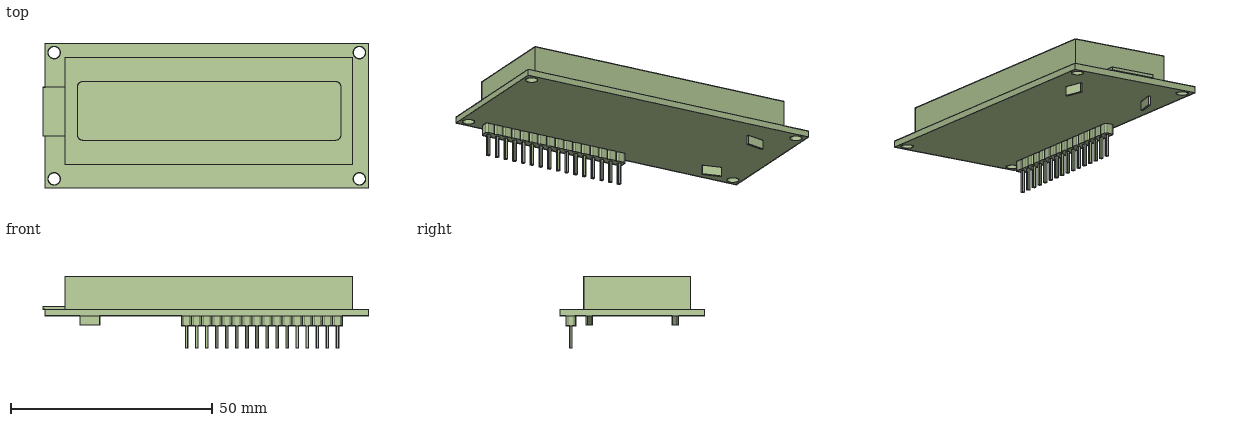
import cadquery as cq

BOARD_LENGTH = 80.5
BOARD_WIDTH = 36.0
BOARD_THICKNESS = 1.6
HOLE_DIAMETER = 3.0
HOLE_INSET = 2.3

HOUSING_LEFT_MARGIN = 5.0
HOUSING_RIGHT_MARGIN = 4.0
HOUSING_FRONT_MARGIN = 5.9
HOUSING_BACK_MARGIN = 3.5
HOUSING_HEIGHT = 8.2
WINDOW_LENGTH = 65.5
WINDOW_WIDTH = 14.6
WINDOW_LEFT = 8.1
WINDOW_CORNER_RADIUS = 1.3
WINDOW_DEPTH = 1.0

TAB_OVERHANG = 0.5
TAB_WIDTH = 12.2
TAB_CENTER_Y = 1.0
TAB_THICKNESS = 0.75

PIN_COUNT = 16
PIN_PITCH = 2.5
PIN_SIZE = 0.65
PIN_LENGTH = 5.5
FIRST_PIN_X = 35.25
HEADER_CENTER_Y = -15.25
HEADER_BLOCK_SIZE = PIN_PITCH
HEADER_CORNER_RADIUS = 0.5
HEADER_HEIGHT = 2.5

LUG_LENGTH = 5.0
LUG_THICKNESS = 0.5
LUG_HEIGHT = 2.3
LUG_TWIST = 13.0
LUG_CENTER_X = 11.2
LUG_SPACING_Y = 21.5

housing_length = BOARD_LENGTH - HOUSING_LEFT_MARGIN - HOUSING_RIGHT_MARGIN
housing_width = BOARD_WIDTH - HOUSING_FRONT_MARGIN - HOUSING_BACK_MARGIN
housing_center_x = HOUSING_LEFT_MARGIN + housing_length / 2
housing_center_y = (HOUSING_FRONT_MARGIN - HOUSING_BACK_MARGIN) / 2


def block(length, width, height, center_x, center_y, bottom):
    """Upright box placed by its plan centre and its bottom height."""
    box = cq.Workplane("XY").box(length, width, height, centered=(True, True, False))
    return box.translate((center_x, center_y, bottom))


def make_board():
    center_x = BOARD_LENGTH / 2
    board = block(BOARD_LENGTH, BOARD_WIDTH, BOARD_THICKNESS, center_x, 0, 0)
    holes = (
        cq.Workplane("XY")
        .center(center_x, 0)
        .rect(BOARD_LENGTH - 2 * HOLE_INSET, BOARD_WIDTH - 2 * HOLE_INSET, forConstruction=True)
        .vertices()
        .circle(HOLE_DIAMETER / 2)
        .extrude(BOARD_THICKNESS)
    )
    return board.cut(holes)


def make_housing():
    housing = block(housing_length, housing_width, HOUSING_HEIGHT,
                    housing_center_x, housing_center_y, BOARD_THICKNESS)
    window_center_x = WINDOW_LEFT + WINDOW_LENGTH / 2
    window_floor = BOARD_THICKNESS + HOUSING_HEIGHT - WINDOW_DEPTH
    window = block(WINDOW_LENGTH, WINDOW_WIDTH, WINDOW_DEPTH,
                   window_center_x, housing_center_y, window_floor)
    return housing.cut(window.edges("|Z").fillet(WINDOW_CORNER_RADIUS))


def make_tab():
    length = TAB_OVERHANG + HOUSING_LEFT_MARGIN
    center_x = HOUSING_LEFT_MARGIN - length / 2
    return block(length, TAB_WIDTH, TAB_THICKNESS, center_x, TAB_CENTER_Y, BOARD_THICKNESS)


def make_pin(x):
    """One header position: a rounded block with a square pin below it."""
    header_block = block(HEADER_BLOCK_SIZE, HEADER_BLOCK_SIZE, HEADER_HEIGHT,
                         x, HEADER_CENTER_Y, -HEADER_HEIGHT)
    header_block = header_block.edges("|Z").fillet(HEADER_CORNER_RADIUS)
    pin = block(PIN_SIZE, PIN_SIZE, PIN_LENGTH, x, HEADER_CENTER_Y, -HEADER_HEIGHT - PIN_LENGTH)
    return header_block.union(pin)


def make_lug(side):
    """Lug on the back (side = 1) or front (side = -1) of the board centreline."""
    lug = cq.Workplane("XY").box(LUG_LENGTH, LUG_THICKNESS, LUG_HEIGHT, centered=(True, True, False))
    lug = lug.rotate((0, 0, 0), (0, 0, 1), side * LUG_TWIST)
    return lug.translate((LUG_CENTER_X, side * LUG_SPACING_Y / 2, -LUG_HEIGHT))


result = make_board().union(make_housing()).union(make_tab())
for pin_index in range(PIN_COUNT):
    result = result.union(make_pin(FIRST_PIN_X + pin_index * PIN_PITCH))
for lug_side in (-1, 1):
    result = result.union(make_lug(lug_side))